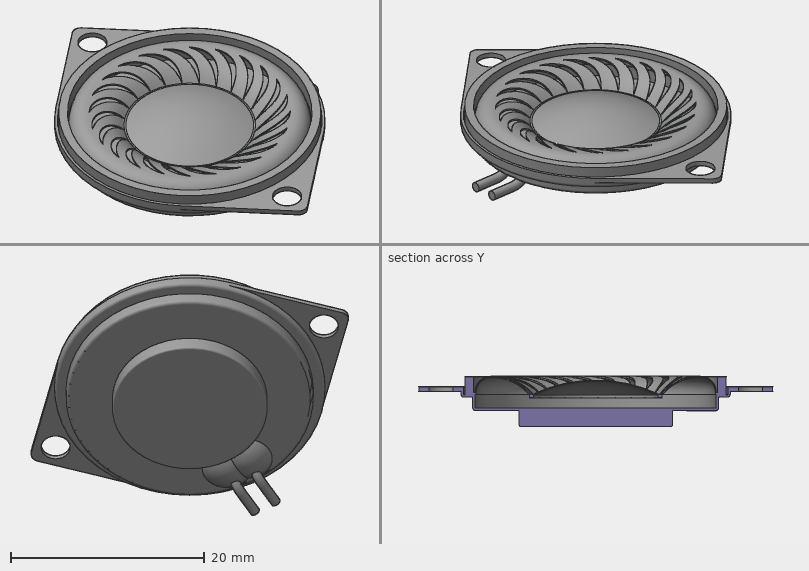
import cadquery as cq
import math


magnet_radius = 16.0 / 2
magnet_fillet = 0.2

sheet = 0.3
pan_bottom_z = 1.65
pan_radius = 25.6 / 2
flange_bottom_z = 3.05
flange_top_z = 4.17
flange_radius = 28.0 / 2
basket_bend = 0.35
pan_floor_z = pan_bottom_z + sheet
seat_z = flange_bottom_z + sheet

ear_thickness = 0.53
ear_tip_x = 18.8
ear_tip_radius = 0.95
ear_hole_x = 16.0
ear_hole_diameter = 3.0

ring_radius = 27.15 / 2
ring_bore_radius = 25.3 / 2
ring_top_z = 5.2

skin = 0.15
crest_radius = 10.85
crest_z = 5.25
roll_radius = 1.7
neck_radius = 6.8
neck_z = 3.4
neck_depth = 0.38
dome_radius = 6.6
dome_height = 1.5

slot_count = 24
slot_phase = 6.2
slot_outer_radius = 10.4
slot_inner_radius = 6.85
slot_sweep = 23.6
slot_convex_radius = 9.45
slot_convex_angle = 14.4
slot_concave_radius = 9.05
slot_concave_angle = 11.5

overall_depth = 29.75
wire_diameter = 1.0
wire_spacing = 2.48
wire_z = 0.83
wire_end_y = overall_depth - flange_radius
wire_bend_y = 12.8
wire_bend_radius = 2.25
wire_bend_angle = 45
solder_y = 9.85
solder_bottom_z = 0.55
solder_radius = 3.55


def polar(radius, degrees):
    angle = math.radians(degrees)
    return (radius * math.cos(angle), radius * math.sin(angle))


def arc_point(center, radius, degrees):
    x, y = polar(radius, degrees)
    return (center[0] + x, center[1] + y)


def cylinder(radius, bottom, top):
    return cq.Workplane("XY").workplane(offset=bottom).circle(radius).extrude(top - bottom)


def make_basket():
    pan = cylinder(pan_radius, pan_bottom_z, seat_z).faces("<Z").edges().fillet(basket_bend)
    flange = cylinder(flange_radius, flange_bottom_z, flange_top_z)
    flange = flange.faces("<Z").edges().fillet(basket_bend)
    tip_center_x = ear_tip_x - ear_tip_radius
    tangent_angle = math.degrees(math.acos((flange_radius - ear_tip_radius) / tip_center_x))
    ear_bottom_z = flange_top_z - ear_thickness
    body = pan.union(flange)
    rim_x, rim_y = polar(flange_radius, tangent_angle)
    tip_x, tip_y = arc_point((tip_center_x, 0), ear_tip_radius, tangent_angle)
    for side in (-1, 1):
        ear = (
            cq.Workplane("XY", origin=(0, 0, ear_bottom_z))
            .moveTo(side * rim_x, rim_y)
            .lineTo(side * tip_x, tip_y)
            .threePointArc((side * ear_tip_x, 0), (side * tip_x, -tip_y))
            .lineTo(side * rim_x, -rim_y)
            .close()
            .extrude(ear_thickness)
        )
        hole = cylinder(ear_hole_diameter / 2, ear_bottom_z, flange_top_z)
        body = body.union(ear).cut(hole.translate((side * ear_hole_x, 0, 0)))
    body = body.cut(cylinder(flange_radius - sheet, seat_z, flange_top_z))
    return body.cut(cylinder(pan_radius - sheet, pan_floor_z, seat_z))


def make_magnet():
    return cylinder(magnet_radius, 0, pan_floor_z).faces("<Z").edges().fillet(magnet_fillet)


def make_clamping_ring():
    return cylinder(ring_radius, seat_z, ring_top_z).cut(cylinder(ring_bore_radius, seat_z, ring_top_z))


def make_diaphragm():
    cone_width = crest_radius - neck_radius
    cone_drop = crest_z - neck_z
    cone_radius = (cone_width**2 + cone_drop**2) / (2 * cone_drop)
    cone_center = (crest_radius, crest_z - cone_radius)
    cone_end = 90 + math.degrees(math.asin(cone_width / cone_radius))
    cone_middle = (90 + cone_end) / 2
    roll_center = (crest_radius, crest_z - roll_radius)
    roll_middle = 45

    dome_sphere = (dome_radius**2 + dome_height**2) / (2 * dome_height)
    dome_center = (0, neck_z + dome_height - dome_sphere)
    dome_middle = 90 - math.degrees(math.asin(dome_radius / dome_sphere)) / 2
    dome_under = dome_sphere - skin
    dome_foot = dome_radius - skin
    dome_foot_z = dome_center[1] + math.sqrt(dome_under**2 - dome_foot**2)
    cone_foot = arc_point(cone_center, cone_radius - skin, cone_end)
    roll_foot = crest_radius + roll_radius - skin

    profile = (
        cq.Workplane("XZ")
        .moveTo(0, neck_z + dome_height)
        .threePointArc(arc_point(dome_center, dome_sphere, dome_middle), (dome_radius, neck_z))
        .lineTo(neck_radius, neck_z)
        .threePointArc(arc_point(cone_center, cone_radius, cone_middle), (crest_radius, crest_z))
        .threePointArc(
            arc_point(roll_center, roll_radius, roll_middle),
            (crest_radius + roll_radius, roll_center[1]),
        )
        .lineTo(ring_radius, roll_center[1])
        .lineTo(ring_radius, seat_z)
        .lineTo(roll_foot, seat_z)
        .lineTo(roll_foot, roll_center[1])
        .threePointArc(
            arc_point(roll_center, roll_radius - skin, roll_middle),
            (crest_radius, crest_z - skin),
        )
        .threePointArc(arc_point(cone_center, cone_radius - skin, cone_middle), cone_foot)
        .lineTo(cone_foot[0], neck_z - neck_depth)
        .lineTo(dome_foot, neck_z - neck_depth)
        .lineTo(dome_foot, dome_foot_z)
        .threePointArc(arc_point(dome_center, dome_under, dome_middle), (0, neck_z + dome_height - skin))
        .close()
    )
    return profile.revolve(360, (0, 0, 0), (0, 1, 0))


def make_slot(start):
    """Crescent-shaped cutter whose outer tip lies at the angle start."""
    outer_tip = polar(slot_outer_radius, start)
    inner_tip = polar(slot_inner_radius, start - slot_sweep)
    convex_middle = polar(slot_convex_radius, start - slot_convex_angle)
    concave_middle = polar(slot_concave_radius, start - slot_concave_angle)
    return (
        cq.Workplane("XY", origin=(0, 0, pan_floor_z))
        .moveTo(*outer_tip)
        .threePointArc(convex_middle, inner_tip)
        .threePointArc(concave_middle, outer_tip)
        .close()
        .extrude(crest_z - pan_floor_z)
    )


def make_lead():
    """Wire with its solder mound, centered on x = 0."""
    mound_top_z = pan_bottom_z + sheet / 2
    ball = cq.Workplane("XY", origin=(0, solder_y, solder_bottom_z + solder_radius)).sphere(solder_radius)
    mound = ball.intersect(cylinder(pan_radius, 0, mound_top_z))
    bend_center = (wire_bend_y, wire_z + wire_bend_radius)
    bend_start = -90
    bend_end = bend_start - wire_bend_angle
    path = (
        cq.Workplane("YZ")
        .moveTo(wire_end_y, wire_z)
        .lineTo(wire_bend_y, wire_z)
        .threePointArc(
            arc_point(bend_center, wire_bend_radius, (bend_start + bend_end) / 2),
            arc_point(bend_center, wire_bend_radius, bend_end),
        )
    )
    section = cq.Workplane("XZ", origin=(0, wire_end_y, wire_z)).circle(wire_diameter / 2)
    return mound.union(section.sweep(path))


diaphragm = make_diaphragm()
for index in range(slot_count):
    diaphragm = diaphragm.cut(make_slot(slot_phase + index * 360 / slot_count))

result = make_basket().union(make_magnet()).union(make_clamping_ring())
result = result.union(diaphragm)
for side in (-1, 1):
    result = result.union(make_lead().translate((side * wire_spacing / 2, 0, 0)))